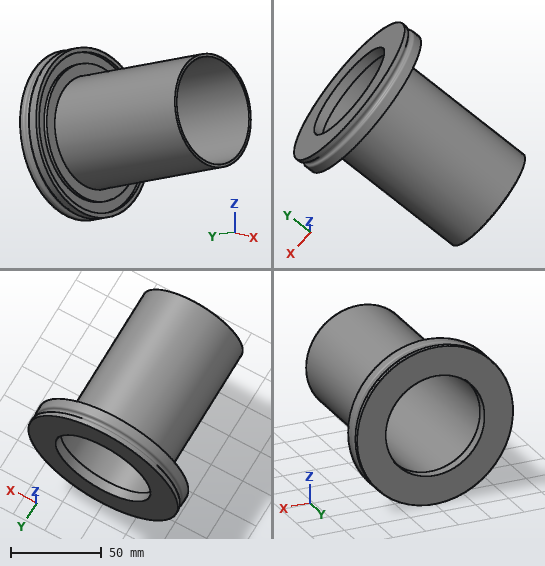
import cadquery as cq
import math

total_length = 100.0

flange_diameter = 95.0
flange_thickness = 11.9

socket_diameter = 63.8
socket_depth = flange_thickness / 2
shoulder_thickness = flange_thickness - socket_depth

groove_start = 2.1
groove_width = 5.0
groove_depth = 1.75
groove_lip_radius = 1.3

pocket_outer_diameter = 89.9
pocket_inner_diameter = 77.2
pocket_depth = 2.0

tube_outer_diameter = 63.5
tube_inner_diameter = 60.2


def ring(outer_diameter, inner_diameter, length, start=0.0):
    """Plain ring about the Y axis that runs from Y = start toward -Y."""
    return (
        cq.Workplane("XZ", origin=(0, start, 0))
        .circle(outer_diameter / 2)
        .circle(inner_diameter / 2)
        .extrude(length)
    )


def clamp_groove():
    """Ring with the groove's section, to be cut from the rim.

    Each lip arc leaves the rim tangentially, turns through the flank angle and
    meets the floor arc tangentially; groove width and depth fix that angle.
    """
    rim_radius = flange_diameter / 2
    half_width = groove_width / 2
    middle_y = -(groove_start + half_width)
    flank_angle = 2 * math.atan(groove_depth / half_width)

    def lip_point(angle, side):
        """Point on a lip arc after turning by angle; side is +1 or -1 along Y."""
        from_middle = half_width - groove_lip_radius * math.sin(angle)
        below_rim = groove_lip_radius * (1 - math.cos(angle))
        return rim_radius - below_rim, middle_y + side * from_middle

    floor_middle = (rim_radius - groove_depth, middle_y)
    return (
        cq.Workplane("XY")
        .moveTo(*lip_point(0, 1))
        .threePointArc(lip_point(flank_angle / 2, 1), lip_point(flank_angle, 1))
        .threePointArc(floor_middle, lip_point(flank_angle, -1))
        .threePointArc(lip_point(flank_angle / 2, -1), lip_point(0, -1))
        .close()
        .revolve(360, (0, 0, 0), (0, 1, 0))
    )


def make_flange():
    shoulder = ring(flange_diameter, tube_inner_diameter, shoulder_thickness)
    socket_wall = ring(flange_diameter, socket_diameter, socket_depth, start=-shoulder_thickness)
    pocket = ring(
        pocket_outer_diameter,
        pocket_inner_diameter,
        pocket_depth,
        start=pocket_depth - flange_thickness,
    )
    return shoulder.union(socket_wall).cut(pocket).cut(clamp_groove())


def make_tube():
    return ring(
        tube_outer_diameter,
        tube_inner_diameter,
        total_length - shoulder_thickness,
        start=-shoulder_thickness,
    )


flange = make_flange()
tube = make_tube()

result = cq.Compound.makeCompound([flange.val(), tube.val()])